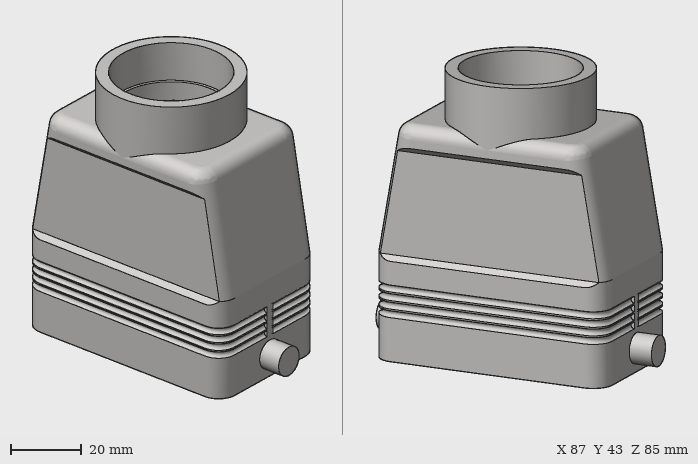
import cadquery as cq
import math

length = 87.0
width = 43.0
height = 85.0

body_length = 73.0
corner_radius = 6.0
base_height = 31.15
hood_height = 70.0
lean_angle = 10.0
top_fillet = 4.0

recess_depth = 1.6
recess_bottom = base_height
recess_top = 62.0

neck_diameter = width
bore_diameter = 35.5
throat_diameter = 33.6
bore_depth = 12.0

wall = 3.0
cavity_length = 47.15
cavity_width = width - 2 * (recess_depth + wall)
cavity_height = hood_height - wall

groove_count = 4
groove_width = 2.0
groove_pitch = 2.5
first_groove_height = 14.0
groove_gap = 2.5

pin_diameter = 9.05
pin_height = 7.05


def make_base():
    """Upright rounded block at the bottom of the hood."""
    block = cq.Workplane("XY").box(body_length, width, base_height, centered=(True, True, False))
    return block.edges("|Z").fillet(corner_radius)


def make_hood():
    """Upper body whose end faces lean inwards, rounded over at the top."""
    rise = hood_height - base_height
    lean = rise * math.tan(math.radians(lean_angle))
    half_bottom = body_length / 2
    half_top = half_bottom - lean
    block = (
        cq.Workplane("XZ")
        .moveTo(-half_bottom, base_height)
        .lineTo(half_bottom, base_height)
        .lineTo(half_top, hood_height)
        .lineTo(-half_top, hood_height)
        .close()
        .extrude(width / 2, both=True)
    )
    leaning_edges = block.faces("<Y or >Y").edges("not #Z")
    rounded = leaning_edges.fillet(corner_radius)
    return rounded.faces(">Z").edges().fillet(top_fillet)


def make_side_recess(side):
    """Cutter for the recess on one long side; side is -1 or 1."""
    outer = side * width / 2
    floor = side * (width / 2 - recess_depth)
    return (
        cq.Workplane("YZ")
        .moveTo(outer, recess_bottom - recess_depth)
        .lineTo(floor, recess_bottom)
        .lineTo(floor, recess_top)
        .lineTo(outer, recess_top + recess_depth)
        .close()
        .extrude(body_length / 2, both=True)
    )


def make_groove(side, level):
    """Round-bottomed groove along one long side and both of its corners."""
    half_x = body_length / 2
    half_y = width / 2
    straight_x = half_x - corner_radius
    straight_y = half_y - corner_radius
    diagonal = corner_radius * math.sqrt(0.5)
    path = (
        cq.Workplane("XY")
        .workplane(offset=level)
        .moveTo(-half_x, side * groove_gap / 2)
        .lineTo(-half_x, side * straight_y)
        .threePointArc(
            (-straight_x - diagonal, side * (straight_y + diagonal)),
            (-straight_x, side * half_y),
        )
        .lineTo(straight_x, side * half_y)
        .threePointArc(
            (straight_x + diagonal, side * (straight_y + diagonal)),
            (half_x, side * straight_y),
        )
        .lineTo(half_x, side * groove_gap / 2)
    )
    start = cq.Workplane("XZ", origin=(-half_x, side * groove_gap / 2, level))
    return start.circle(groove_width / 2).sweep(path)


def make_cylinder(diameter, bottom, top):
    """Upright cylinder on the neck axis between two heights."""
    return cq.Workplane("XY").workplane(offset=bottom).circle(diameter / 2).extrude(top - bottom)


def make_pin(side):
    """Locking pin reaching from inside the end wall to the full length."""
    root = cavity_length / 2
    return (
        cq.Workplane("YZ", origin=(side * root, 0, pin_height))
        .circle(pin_diameter / 2)
        .extrude(side * (length / 2 - root))
    )


result = make_base().union(make_hood())
for side in (-1, 1):
    result = result.cut(make_side_recess(side))
    for index in range(groove_count):
        result = result.cut(make_groove(side, first_groove_height + index * groove_pitch))
    result = result.union(make_pin(side))
result = result.union(make_cylinder(neck_diameter, hood_height - top_fillet, height))

result = result.cut(make_cylinder(throat_diameter, cavity_height, height))
result = result.cut(make_cylinder(bore_diameter, height - bore_depth, height))
cavity = cq.Workplane("XY").box(cavity_length, cavity_width, cavity_height, centered=(True, True, False))
result = result.cut(cavity)